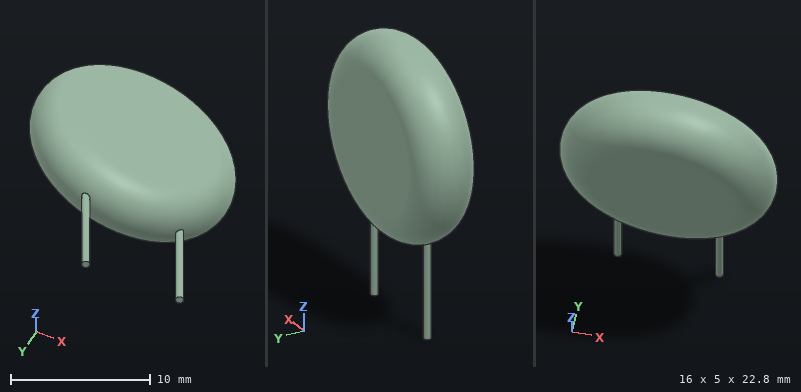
import cadquery as cq

total_height = 22.8
disc_diameter = 16.0
disc_thickness = 5.0
lead_diameter = 0.6
lead_spacing = 7.5

disc_radius = disc_diameter / 2
rim_radius = disc_thickness / 2
flat_radius = disc_radius - rim_radius
lead_bottom = disc_radius - total_height
lead_start = -flat_radius


def make_disc():
    """Disc with flat faces and a fully rounded rim, revolved about Y."""
    return (
        cq.Workplane("XY")
        .moveTo(0, -rim_radius)
        .lineTo(flat_radius, -rim_radius)
        .threePointArc((disc_radius, 0), (flat_radius, rim_radius))
        .lineTo(0, rim_radius)
        .close()
        .revolve(360, (0, 0), (0, 1))
    )


def make_lead(x, body):
    """Round wire lead whose upper end is trimmed to meet the disc rim."""
    wire = (
        cq.Workplane("XY", origin=(x, 0, lead_bottom))
        .circle(lead_diameter / 2)
        .extrude(lead_start - lead_bottom)
    )
    return wire.cut(body)


disc = make_disc()

leads = []
for side in (-1, 1):
    lead = make_lead(side * lead_spacing / 2, disc)
    leads.append(lead.solids().val())

result = cq.Compound.makeCompound([disc.val(), *leads])